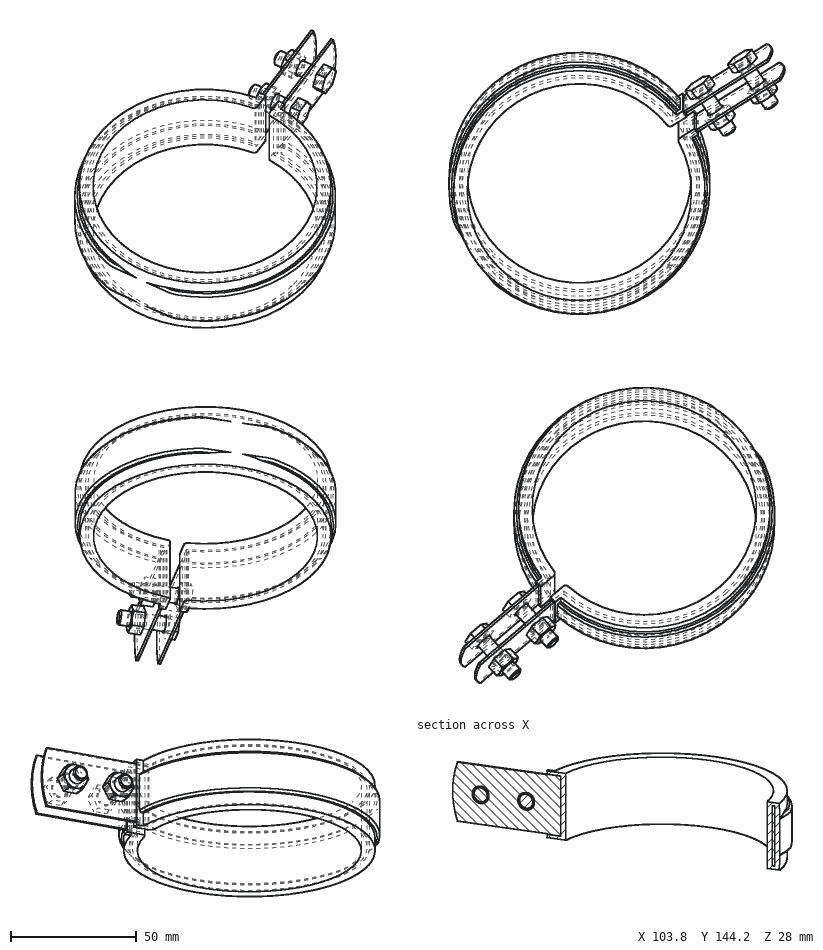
import cadquery as cq
import math

overall_length = 144.2

bore_radius = 44.5
lining_radius = 50.0
lining_height = 28.0
lining_corner_radius = 1.5
gap_half_width = 2.9

band_radius = 51.9
band_height = 17.0
band_chamfer = 1.0
band_flat_depth = 0.06
band_flat_blend_radius = 15.1

pad_outer_x = 5.8
pad_end_y = 52.6

strap_thickness = 1.0
strap_width = 24.8
strap_ring_inner_radius = (bore_radius + lining_radius - strap_thickness) / 2
ear_inner_x = 4.0
ear_outer_x = ear_inner_x + strap_thickness
ear_end_y = overall_length - lining_radius
ear_crown = 2.2
ear_hole_diameter = 7.0

bolt_diameter = 6.0
bolt_tip_diameter = 4.9
bolt_tip_x = -14.9
bolt_spacing = 20.0
first_bolt_y = 61.7
bolt_positions = [first_bolt_y, first_bolt_y + bolt_spacing]
hex_across_flats = 10.0
hex_across_corners = hex_across_flats / math.cos(math.radians(30))
bolt_head_height = 4.0
nut_height = 5.2
nut_chamfer_angle = 30.0


def block(x_range, y_range, height):
    """Box between the given X and Y limits, centred on Z = 0."""
    x_min, x_max = x_range
    y_min, y_max = y_range
    return cq.Workplane("XY").box(x_max - x_min, y_max - y_min, height).translate(
        ((x_min + x_max) / 2, (y_min + y_max) / 2, 0)
    )


def cylinder_z(radius, height):
    """Cylinder on the ring axis, centred on Z = 0."""
    return cq.Workplane("XY").circle(radius).extrude(height / 2, both=True)


def cylinder_x(diameter, x_start, x_end, y):
    """Cylinder along X at height Z = 0."""
    return (
        cq.Workplane("YZ", origin=(x_start, 0, 0))
        .center(y, 0)
        .circle(diameter / 2)
        .extrude(x_end - x_start)
    )


def hexagon_x(x_start, x_end, y):
    """Hexagonal prism along X with two flats facing up and down."""
    return (
        cq.Workplane("YZ", origin=(x_start, 0, 0))
        .center(y, 0)
        .polygon(6, hex_across_corners)
        .extrude(x_end - x_start)
    )


def make_band():
    """Raised band with chamfered rims and a blended flat on its -Y side."""
    flat_y = -(lining_radius - band_flat_depth)
    below_flat = block((-band_radius, band_radius), (-2 * band_radius, flat_y), band_height)
    band = cylinder_z(band_radius, band_height).cut(below_flat)
    band = band.edges("|Z").edges("<Y").fillet(band_flat_blend_radius)
    return band.faces("|Z").edges().chamfer(band_chamfer)


def make_strap():
    """C-shaped strap whose ends turn outward into two parallel ears."""
    ring_outer_radius = strap_ring_inner_radius + strap_thickness
    ring = cylinder_z(ring_outer_radius, strap_width).cut(
        cylinder_z(strap_ring_inner_radius, strap_width)
    )
    strap = ring.cut(block((-ear_inner_x, ear_inner_x), (0, band_radius), strap_width))

    half_width = strap_width / 2
    ear_start_y = math.sqrt(strap_ring_inner_radius**2 - ear_inner_x**2)
    for ear_x in (-ear_outer_x, ear_inner_x):
        ear = (
            cq.Workplane("YZ", origin=(ear_x, 0, 0))
            .moveTo(ear_start_y, -half_width)
            .lineTo(ear_end_y - ear_crown, -half_width)
            .threePointArc((ear_end_y, 0), (ear_end_y - ear_crown, half_width))
            .lineTo(ear_start_y, half_width)
            .close()
            .extrude(strap_thickness)
        )
        strap = strap.union(ear)

    for bolt_y in bolt_positions:
        strap = strap.cut(cylinder_x(ear_hole_diameter, -ear_outer_x, ear_outer_x, bolt_y))
    return strap


def make_lining(strap):
    """Split rubber ring with the strap embedded in it."""
    lining = cylinder_z(lining_radius, lining_height)
    lining = lining.union(make_band())
    lining = lining.union(block((-pad_outer_x, pad_outer_x), (bore_radius, pad_end_y), lining_height))
    lining = lining.cut(cylinder_z(bore_radius, lining_height))
    lining = lining.cut(block((-gap_half_width, gap_half_width), (0, pad_end_y), lining_height))

    corner_y = math.sqrt(bore_radius**2 - gap_half_width**2)
    for corner_x in (-gap_half_width, gap_half_width):
        corner = cq.selectors.NearestToPointSelector((corner_x, corner_y, 0))
        lining = lining.edges("|Z").edges(corner).fillet(lining_corner_radius)
    return lining.cut(strap)


def make_bolt(bolt_y):
    """Hexagon bolt with its head on the +X ear and its tip on the -X side."""
    head = hexagon_x(ear_outer_x, ear_outer_x + bolt_head_height, bolt_y)
    tip_chamfer = (bolt_diameter - bolt_tip_diameter) / 2
    shank = cylinder_x(bolt_diameter, bolt_tip_x, ear_outer_x, bolt_y)
    shank = shank.faces("<X").edges().chamfer(tip_chamfer)
    return shank.union(head)


def make_nut(bolt_y):
    """Hexagon nut on the -X ear with the corners of its outer face turned off."""
    nut_outer_x = -ear_outer_x - nut_height
    nut = hexagon_x(nut_outer_x, -ear_outer_x, bolt_y)
    corner_height = (hex_across_corners - hex_across_flats) / 2
    chamfer_depth = corner_height * math.tan(math.radians(nut_chamfer_angle))
    turned = cylinder_x(hex_across_corners, nut_outer_x, -ear_outer_x, bolt_y)
    turned = turned.faces("<X").edges().chamfer(chamfer_depth, corner_height)
    return nut.intersect(turned).cut(cylinder_x(bolt_diameter, nut_outer_x, -ear_outer_x, bolt_y))


strap = make_strap()
lining = make_lining(strap)
bolts = [make_bolt(bolt_y) for bolt_y in bolt_positions]
nuts = [make_nut(bolt_y) for bolt_y in bolt_positions]

result = cq.Compound.makeCompound([
    solid
    for body in (lining, strap, *bolts, *nuts)
    for solid in body.solids().vals()
])